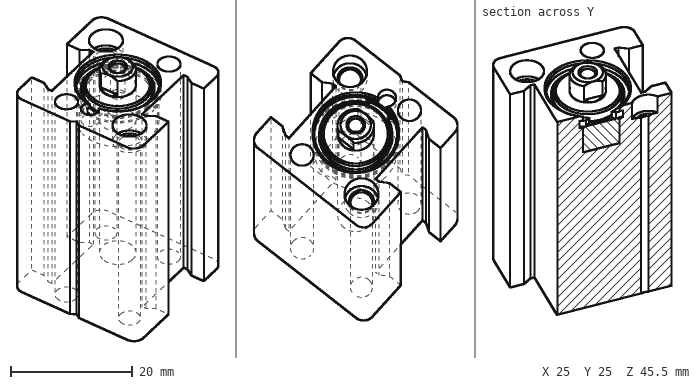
import cadquery as cq
import math


WIDTH = 25.0
TOTAL_HEIGHT = 45.5
ROD_PROJECTION = 3.5
HOUSING_HEIGHT = TOTAL_HEIGHT - ROD_PROJECTION
HALF_WIDTH = WIDTH / 2
CORNER_RADIUS = 1.9

SLOT_OFFSET = 1.8
SLOT_MOUTH_HALF = 5.1
SLOT_INNER_HALF = 6.0
SLOT_LIP_X = 10.0
SLOT_SHOULDER_X = 8.55
SLOT_FLOOR_X = 7.83

GROOVE_HALF_WIDTH = 0.9
GROOVE_DEPTH = 0.55

SCREW_OFFSET = 7.75
SCREW_HEAD_DIAMETER = 5.6
SCREW_HEAD_DEPTH = 3.5
SCREW_LEAD_DIAMETER = 4.15
SCREW_HOLE_DIAMETER = 3.6
THROUGH_HOLE_X = 4.25
THROUGH_HOLE_Y = 8.75
THROUGH_HOLE_DIAMETER = 3.8

RECESS_DIAMETER = 13.7
RECESS_CHAMFER = 0.3
RECESS_DEPTH = 8.0
RECESS_BASE_Z = HOUSING_HEIGHT - RECESS_DEPTH

RING_OUTER_DIAMETER = RECESS_DIAMETER + 2 * RECESS_CHAMFER
RING_INNER_DIAMETER = 12.15
RING_THICKNESS = 1.3
RING_TOP_DEPTH = 1.2
RING_TOP_Z = HOUSING_HEIGHT - RING_TOP_DEPTH
RING_BASE_Z = RING_TOP_Z - RING_THICKNESS
RING_GAP_APEX_Y = -4.82
RING_GAP_HALF_ANGLE = 65.0

RELIEF_OFFSET = 8.0
RELIEF_DIAMETER = 3.0

BOSS_DIAMETER = 11.2
BOSS_CHAMFER = 0.3
BOSS_FOOT_CHAMFER = 0.16
BOSS_TOP_DEPTH = 0.5
BOSS_TOP_Z = HOUSING_HEIGHT - BOSS_TOP_DEPTH

ROD_DIAMETER = 6.0
ROD_CHAMFER = 0.5
ROD_BASE_Z = 5.0
ROD_FLAT_SIZE = 5.0
ROD_FLAT_RUNOUT = (ROD_DIAMETER - ROD_FLAT_SIZE) / 2
THREAD_DIAMETER = 2.45
THREAD_CHAMFER = 0.3
THREAD_DEPTH = 6.0
DRILL_TIP_HALF_ANGLE = 59.0


def cylinder(diameter, base_z, top_z, x=0.0, y=0.0):
    """Upright cylinder between two heights."""
    disc = cq.Workplane("XY", origin=(x, y, base_z)).circle(diameter / 2)
    return disc.extrude(top_z - base_z)


def cone(base_diameter, top_diameter, base_z, top_z, x=0.0, y=0.0):
    """Upright cone or truncated cone between two heights."""
    solid = cq.Solid.makeCone(
        base_diameter / 2, top_diameter / 2, top_z - base_z, cq.Vector(x, y, base_z)
    )
    return cq.Workplane(solid)


def side_slot():
    """Slot on the +X side, with inclined lips that narrow its mouth."""
    upper_half = [
        (HALF_WIDTH, SLOT_MOUTH_HALF),
        (SLOT_LIP_X, SLOT_MOUTH_HALF),
        (SLOT_SHOULDER_X, SLOT_INNER_HALF),
        (SLOT_FLOOR_X, SLOT_INNER_HALF),
    ]
    lower_half = [(x, -y) for x, y in reversed(upper_half)]
    profile = cq.Workplane("XY").polyline(upper_half + lower_half).close()
    return profile.extrude(HOUSING_HEIGHT).translate((0, SLOT_OFFSET, 0))


def v_groove():
    """V groove along the full height of the -Y side."""
    points = [
        (-GROOVE_HALF_WIDTH, -HALF_WIDTH),
        (0, GROOVE_DEPTH - HALF_WIDTH),
        (GROOVE_HALF_WIDTH, -HALF_WIDTH),
    ]
    return cq.Workplane("XY").polyline(points).close().extrude(HOUSING_HEIGHT)


def screw_hole(x, y):
    """Through hole with a tapered lead-in under a counterbore."""
    head_z = HOUSING_HEIGHT - SCREW_HEAD_DEPTH
    lead_z = head_z - (SCREW_LEAD_DIAMETER - SCREW_HOLE_DIAMETER) / 2
    hole = cylinder(SCREW_HOLE_DIAMETER, 0, lead_z, x, y)
    lead = cone(SCREW_HOLE_DIAMETER, SCREW_LEAD_DIAMETER, lead_z, head_z, x, y)
    head = cylinder(SCREW_HEAD_DIAMETER, head_z, HOUSING_HEIGHT, x, y)
    return hole.union(lead).union(head)


def make_housing():
    """Square extrusion with slots, mounting holes and a stepped blind recess."""
    body = cq.Workplane("XY").rect(WIDTH, WIDTH).extrude(HOUSING_HEIGHT)
    body = body.edges("|Z").fillet(CORNER_RADIUS).cut(v_groove())
    for turn in (0, 180):
        body = body.cut(side_slot().rotate((0, 0, 0), (0, 0, 1), turn))
    for side in (-1, 1):
        body = body.cut(screw_hole(side * SCREW_OFFSET, -side * SCREW_OFFSET))
        x = side * THROUGH_HOLE_X
        y = side * THROUGH_HOLE_Y
        body = body.cut(cylinder(THROUGH_HOLE_DIAMETER, 0, HOUSING_HEIGHT, x, y))
    body = body.cut(cylinder(RELIEF_DIAMETER, RING_BASE_Z, HOUSING_HEIGHT, 0, -RELIEF_OFFSET))
    body = body.cut(cylinder(RECESS_DIAMETER, RECESS_BASE_Z, HOUSING_HEIGHT))
    body = body.cut(cylinder(RING_OUTER_DIAMETER, RING_BASE_Z, RING_TOP_Z))
    for edge_z in (HOUSING_HEIGHT, RING_BASE_Z):
        chamfer_z = edge_z - RECESS_CHAMFER
        body = body.cut(cone(RECESS_DIAMETER, RING_OUTER_DIAMETER, chamfer_z, edge_z))
    return body.cut(cylinder(ROD_DIAMETER, ROD_BASE_Z, RECESS_BASE_Z))


def make_collar():
    """Flange that fills the recess below the ring, with a chamfered boss and a rod bore."""
    flange = cylinder(RECESS_DIAMETER, RECESS_BASE_Z, RING_BASE_Z)
    boss = cylinder(BOSS_DIAMETER, RING_BASE_Z, BOSS_TOP_Z).faces(">Z").chamfer(BOSS_CHAMFER)
    foot_diameter = BOSS_DIAMETER + 2 * BOSS_FOOT_CHAMFER
    foot = cone(foot_diameter, BOSS_DIAMETER, RING_BASE_Z, RING_BASE_Z + BOSS_FOOT_CHAMFER)
    collar = flange.union(boss).union(foot)
    return collar.cut(cylinder(ROD_DIAMETER, RECESS_BASE_Z, BOSS_TOP_Z))


def make_ring():
    """Open ring whose gap faces -Y and flares outward."""
    ring = cylinder(RING_OUTER_DIAMETER, RING_BASE_Z, RING_TOP_Z)
    ring = ring.cut(cylinder(RING_INNER_DIAMETER, RING_BASE_Z, RING_TOP_Z))
    end_y = -RING_OUTER_DIAMETER / 2
    end_x = (RING_GAP_APEX_Y - end_y) * math.tan(math.radians(RING_GAP_HALF_ANGLE))
    points = [(0, RING_GAP_APEX_Y), (-end_x, end_y), (end_x, end_y)]
    gap = cq.Workplane("XY", origin=(0, 0, RING_BASE_Z)).polyline(points).close()
    return ring.cut(gap.extrude(RING_THICKNESS))


def rod_flat():
    """Cut for the flat on the +Y side, running out to the rod surface at 45 degrees."""
    inner_y = ROD_FLAT_SIZE / 2
    outer_y = ROD_DIAMETER / 2
    points = [
        (inner_y, TOTAL_HEIGHT),
        (inner_y, BOSS_TOP_Z + ROD_FLAT_RUNOUT),
        (outer_y, BOSS_TOP_Z),
        (outer_y, TOTAL_HEIGHT),
    ]
    return cq.Workplane("YZ").polyline(points).close().extrude(ROD_DIAMETER / 2, both=True)


def make_rod():
    """Round rod with a chamfered end, two wrench flats and a blind tapped hole."""
    rod = cylinder(ROD_DIAMETER, ROD_BASE_Z, TOTAL_HEIGHT).faces(">Z").chamfer(ROD_CHAMFER)
    for turn in (0, 180):
        rod = rod.cut(rod_flat().rotate((0, 0, 0), (0, 0, 1), turn))
    thread_z = TOTAL_HEIGHT - THREAD_DEPTH
    tip_height = THREAD_DIAMETER / 2 / math.tan(math.radians(DRILL_TIP_HALF_ANGLE))
    mouth_diameter = THREAD_DIAMETER + 2 * THREAD_CHAMFER
    rod = rod.cut(cylinder(THREAD_DIAMETER, thread_z, TOTAL_HEIGHT))
    rod = rod.cut(cone(0, THREAD_DIAMETER, thread_z - tip_height, thread_z))
    return rod.cut(cone(THREAD_DIAMETER, mouth_diameter, TOTAL_HEIGHT - THREAD_CHAMFER, TOTAL_HEIGHT))


housing = make_housing()
collar = make_collar()
ring = make_ring()
rod = make_rod()

result = cq.Compound.makeCompound([housing.val(), collar.val(), ring.val(), rod.val()])